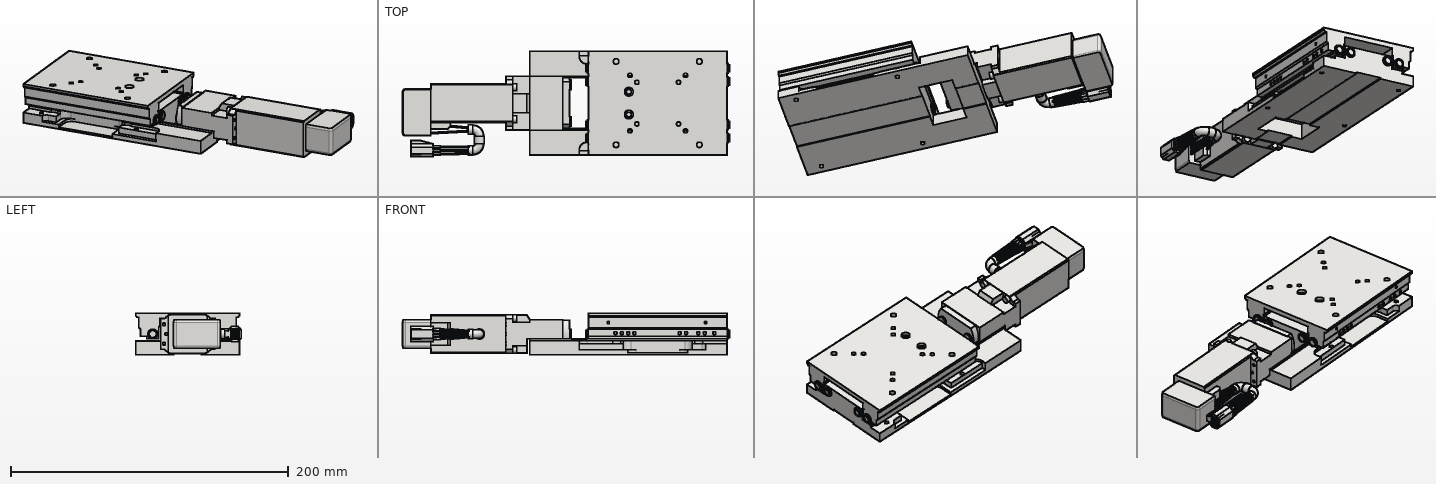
import cadquery as cq
import math


TABLE_LENGTH = 100.0
TABLE_WIDTH = 75.0
STAGE_HEIGHT = 30.0
AXIS_Z = 15.0
BASE_TOP = 10.0
PAD_TOP = 11.5
CENTRE_HALF = 19.5
HALF_LENGTH = TABLE_LENGTH / 2
HALF_WIDTH = TABLE_WIDTH / 2

WASHER_DIA = 7.0
WASHER_THICK = 0.9
HEAD_DIA = 5.2
CAP_PROUD = 1.7
GUIDE_CAP_Y = 15.5
TABLE_CAP_Y = 25.1

BASE_START = -92.3
GUIDE_TOP = 19.5
RELIEF_HALF = 10.0
RELIEF_DEPTH = 0.9
WINDOW_START = -75.0
WINDOW_END = -HALF_LENGTH
WINDOW_HALF = 18.2
LEDGE_Z = 8.0
NOTCH_Z = 3.5
NOTCH_DEPTH = 3.3
RECESS_Z = 1.5
RECESS_HALF = 21.5
STEP_HALF = 25.0
RECESS_CORNER = 5.6
RECESS_DEPTH = 15.0
LEDGE_DEPTH = 9.3
LEDGE_CORNER = 5.5
LEDGE_START = -56.5
NOTCH_ENDS = (-56.5, 34.6)
NOTCH_CORNER = 3.0
BORE_X = 29.5
BORE_Y = 31.5
BORE_DIA = 8.6
MOUNT_HOLE_X = 38.0
MOUNT_HOLE_Y = 32.2
MOUNT_HOLE_DIA = 2.8

SLOT_HALF = 20.7
SLOT_UPPER_HALF = 19.9
SLOT_STEP_Z = 20.3
SLOT_TOP = 26.2
RAIL_HALF = 29.5
LEG_BOTTOM = 13.3
LEG_HALF = 34.0
LEG_TOP = 18.4
COVER_HALF = 35.2
COVER_BOTTOM = 19.6
COVER_TOP = 26.9
LIP_BOTTOM = 28.3
LIP_BEVEL_HALF = 36.2
CORNER_HOLE_POS = 30.0
CORNER_HOLE_DIA = 4.0
CORNER_HOLE_DEPTH = 8.0
INNER_HOLE_POS = (15.0, 20.0)
INNER_HOLE_DIA = 3.0
COUNTERBORE_X = -20.8
COUNTERBORE_Y = 8.2
COUNTERBORE_DIA = 6.2
COUNTERBORE_DEPTH = 2.5
SCREW_HOLE_DIA = 3.6
COVER_HOLE_X = (-35.6, 34.5)
COVER_HOLE_Z = 23.2
COVER_HOLE_DIA = 1.7
SIDE_HOLE_X = (-30.4, -25.8, -21.2, -16.8, 15.8, 20.4, 29.2, 33.9, 40.8)
SIDE_HOLE_Z = 15.7
SIDE_HOLE_DIA = 2.2
SIDE_HOLE_DEPTH = 4.0

MOTOR_SIZE = 28.0
MOTOR_START = -163.3
MOTOR_CHAMFER = 0.9
ENCODER_START = -183.8
ENCODER_Y = (-23.6, 10.2)
ENCODER_HEIGHT = 20.7
ENCODER_ROUND = 2.1
ENCODER_BEVEL_HEIGHT = 1.8
ENCODER_BEVEL_INSET = 0.5
FLANGE_START = -109.4
FLANGE_END = -104.4
FLANGE_HALF_HEIGHT = 11.0
FLANGE_SLOPE_START = 16.8
FLANGE_SLOPE_END = 13.5
FLANGE_HOLE_Y = 17.0
FLANGE_HOLE_Z = 7.0
FLANGE_HOLE_DIA = 2.0
FLANGE_CENTRE_HOLE_Y = 15.3
HOUSING_LOW_END = -94.1
HOUSING_END = -68.3
HOUSING_TOP = 25.4
NECK_HALF_HEIGHT = 8.5
RIB_HALF = 6.8
RIB_HALF_HEIGHT = 13.8
RIB_SLOPE_START = -94.3
RIB_SLOPE_END = -92.0
MOTOR_SCREW_Y = 11.5
MOTOR_SCREW_DIA = 5.0
MOTOR_SCREW_LENGTH = 2.8
PLATE_END = -63.4
PLATE_DIA = 36.6
PLATE_TOP = 25.0
PLATE_CAP_Y = 13.2
PLATE_CAP_PROUD = 1.3

SOCKET_END = -149.3
SOCKET_OUT_Y = -18.7
SOCKET_HEIGHT = 16.2
SOCKET_CHAMFER = 2.0
SLEEVE_DIA = 6.4
SLEEVE_START = -136.6
SLEEVE_BEND_X = -133.2
SLEEVE_BEND_RADIUS = 4.7
SLEEVE_NEAR_Y = -19.0
SLEEVE_FAR_Y = -34.0
COLLAR_DIA = 6.9
BAND_DIA = 7.3
PLUG_START = -177.7
PLUG_END = -161.8
PLUG_Y = -34.03
PLUG_HALF_WIDTH = 4.75
PLUG_FLAT_Y = 2.3
PLUG_HALF_HEIGHT = 5.5
PLUG_FLAT_Z = 2.9
LATCH_Y = -26.9
LATCH_HALF_HEIGHT = 2.2
LATCH_FLAT_END = -170.8
CONTACT_ROWS = (-1.5, -0.5, 0.5, 1.5)
CONTACT_PITCH = 2.15
PLUG_SLOT_HEIGHT = 0.9
PLUG_SLOT_WIDTH = 6.0
PLUG_SLOT_DEPTH = 7.0
BARREL_END = -156.7
BARREL_DIA = 1.8
WIRE_DIA = 1.1
WIRE_OVERLAP = 1.0
WIRE_COLUMNS = (-1, 0, 1)
PLUG_WIRE_Y = 2.5
SLEEVE_WIRE_Y = 2.4
SLEEVE_WIRE_Z = 1.4
SOCKET_WIRE_Y = -16.6
ENCODER_WIRE_Y = -21.6


def block(x_range, y_range, z_range):
    size = [high - low for low, high in (x_range, y_range, z_range)]
    corner = (x_range[0], y_range[0], z_range[0])
    return cq.Workplane("XY").box(*size, centered=False).translate(corner)


def centred_block(x_range, half_width, z_range):
    return block(x_range, (-half_width, half_width), z_range)


def rod_x(x_range, y, z, diameter):
    length = x_range[1] - x_range[0]
    return cq.Workplane("YZ", origin=(x_range[0], y, z)).circle(diameter / 2).extrude(length)


def rod_z(x, y, z_range, diameter):
    length = z_range[1] - z_range[0]
    return cq.Workplane("XY", origin=(x, y, z_range[0])).circle(diameter / 2).extrude(length)


def mirrored_y(shape):
    return shape.union(shape.mirror("XZ"))


def end_caps(y):
    """Screw head and washer at both ends of the stage, for one pair of sides."""
    caps = cq.Workplane("XY")
    for side in (-1, 1):
        for direction in (-1, 1):
            for diameter, height in ((WASHER_DIA, WASHER_THICK), (HEAD_DIA, CAP_PROUD)):
                ends = sorted((direction * HALF_LENGTH, direction * (HALF_LENGTH + height)))
                caps = caps.union(rod_x(ends, side * y, AXIS_Z, diameter))
    return caps


def mounting_recesses():
    """Cuts along the -Y edge: middle recess, clamping ledges, side notches and screw holes."""
    edge = -HALF_WIDTH
    above = PAD_TOP
    cuts = (block((-RECESS_HALF, RECESS_HALF), (edge, edge + RECESS_DEPTH), (RECESS_Z, above))
            .edges("|Z and >Y").fillet(RECESS_CORNER))
    step = (block((-STEP_HALF, STEP_HALF), (edge, edge + RECESS_DEPTH), (NOTCH_Z, above))
            .edges("|Z and >Y").fillet(RECESS_CORNER))
    left_ledge = (block((LEDGE_START, -STEP_HALF), (edge, edge + LEDGE_DEPTH), (LEDGE_Z, above))
                  .edges("|Z and >Y and <X").fillet(LEDGE_CORNER))
    right_ledge = block((STEP_HALF, HALF_LENGTH), (edge, edge + LEDGE_DEPTH), (LEDGE_Z, above))
    notch = (block(NOTCH_ENDS, (edge, edge + NOTCH_DEPTH), (NOTCH_Z, above))
             .edges("|Z and >Y and >X").fillet(NOTCH_CORNER))
    for cut in (step, left_ledge, right_ledge, notch):
        cuts = cuts.union(cut)
    for x in (-BORE_X, BORE_X):
        cuts = cuts.union(rod_z(x, -BORE_Y, (LEDGE_Z, above), BORE_DIA))
    for x in (-MOUNT_HOLE_X, MOUNT_HOLE_X):
        cuts = cuts.union(rod_z(x, -MOUNT_HOLE_Y, (0, above), MOUNT_HOLE_DIA))
    return cuts


def make_base():
    body = centred_block((BASE_START, HALF_LENGTH), HALF_WIDTH, (0, BASE_TOP))
    body = body.cut(mirrored_y(mounting_recesses()))
    body = body.union(centred_block((BASE_START, HALF_LENGTH), CENTRE_HALF, (0, PAD_TOP)))
    body = body.cut(centred_block((BASE_START, HALF_LENGTH), RELIEF_HALF, (0, RELIEF_DEPTH)))
    body = body.cut(centred_block((WINDOW_START, WINDOW_END), WINDOW_HALF, (0, PAD_TOP)))
    guide = centred_block((-HALF_LENGTH, HALF_LENGTH), CENTRE_HALF, (PAD_TOP, GUIDE_TOP))
    return body.union(guide).union(end_caps(GUIDE_CAP_Y))


def table_blank():
    """Inverted channel with stepped outer sides and a rail under each leg."""
    half_profile = [
        (HALF_WIDTH, STAGE_HEIGHT), (HALF_WIDTH, LIP_BOTTOM),
        (LIP_BEVEL_HALF, COVER_TOP), (COVER_HALF, COVER_TOP),
        (COVER_HALF, COVER_BOTTOM), (LEG_HALF, LEG_TOP),
        (LEG_HALF, LEG_BOTTOM), (RAIL_HALF, LEG_BOTTOM),
        (RAIL_HALF, PAD_TOP), (SLOT_HALF, PAD_TOP),
        (SLOT_HALF, SLOT_STEP_Z), (SLOT_UPPER_HALF, SLOT_STEP_Z),
        (SLOT_UPPER_HALF, SLOT_TOP),
    ]
    other_half = [(-y, z) for y, z in reversed(half_profile)]
    plane = cq.Workplane("YZ", origin=(-HALF_LENGTH, 0, 0))
    return plane.polyline(half_profile + other_half).close().extrude(TABLE_LENGTH)


def top_holes():
    top = cq.Workplane("XY", origin=(0, 0, STAGE_HEIGHT))
    corners = top.rect(2 * CORNER_HOLE_POS, 2 * CORNER_HOLE_POS, forConstruction=True).vertices()
    holes = corners.circle(CORNER_HOLE_DIA / 2).extrude(-CORNER_HOLE_DEPTH)
    plate = STAGE_HEIGHT - SLOT_TOP
    for pos in INNER_HOLE_POS:
        square = top.rect(2 * pos, 2 * pos, forConstruction=True).vertices()
        holes = holes.union(square.circle(INNER_HOLE_DIA / 2).extrude(-plate))
    screws = top.pushPoints([(COUNTERBORE_X, COUNTERBORE_Y), (COUNTERBORE_X, -COUNTERBORE_Y)])
    holes = holes.union(screws.circle(COUNTERBORE_DIA / 2).extrude(-COUNTERBORE_DEPTH))
    return holes.union(screws.circle(SCREW_HOLE_DIA / 2).extrude(-plate))


def side_holes():
    """Blind holes in the -Y side: two for the cover and a row along each rail."""
    side = cq.Workplane("XZ", origin=(0, -HALF_WIDTH, 0))
    depth = -(SIDE_HOLE_DEPTH + HALF_WIDTH - LEG_HALF)
    cover = side.pushPoints([(x, COVER_HOLE_Z) for x in COVER_HOLE_X])
    rail = side.pushPoints([(x, SIDE_HOLE_Z) for x in SIDE_HOLE_X])
    holes = cover.circle(COVER_HOLE_DIA / 2).extrude(depth)
    return holes.union(rail.circle(SIDE_HOLE_DIA / 2).extrude(depth))


def make_table():
    return table_blank().cut(top_holes()).cut(side_holes()).union(end_caps(TABLE_CAP_Y))


def encoder_box():
    """Box with rounded upright corners and steep bevels along its top and bottom."""
    half_height = ENCODER_HEIGHT / 2
    straight = half_height - ENCODER_BEVEL_HEIGHT
    draft = math.degrees(math.atan2(ENCODER_BEVEL_INSET, ENCODER_BEVEL_HEIGHT))
    over_length = (ENCODER_START, MOTOR_START + ENCODER_ROUND)
    core = block(over_length, ENCODER_Y, (AXIS_Z - straight, AXIS_Z + straight))
    core = core.edges("|Z and <X").fillet(ENCODER_ROUND)
    box = core
    for face in (">Z", "<Z"):
        bevel = core.faces(face).wires().toPending().workplane()
        box = box.union(bevel.extrude(ENCODER_BEVEL_HEIGHT, taper=draft, combine=False))
    limits = block((ENCODER_START, MOTOR_START), ENCODER_Y,
                   (AXIS_Z - half_height, AXIS_Z + half_height))
    return box.intersect(limits)


def motor_with_encoder():
    half = MOTOR_SIZE / 2
    motor = centred_block((MOTOR_START, FLANGE_END), half, (AXIS_Z - half, AXIS_Z + half))
    motor = motor.edges("|X").chamfer(MOTOR_CHAMFER)
    return motor.union(encoder_box())


def flange():
    """Plate with corners sloping up to the motor top and bottom, and holes in its ears."""
    quarter = [(CENTRE_HALF, FLANGE_HALF_HEIGHT), (FLANGE_SLOPE_START, FLANGE_HALF_HEIGHT),
               (FLANGE_SLOPE_END, RIB_HALF_HEIGHT)]
    upper = quarter + [(-y, z) for y, z in reversed(quarter)]
    outline = upper + [(-y, -z) for y, z in upper]
    plane = cq.Workplane("YZ", origin=(FLANGE_START, 0, AXIS_Z))
    plate = plane.polyline(outline).close().extrude(FLANGE_END - FLANGE_START)
    points = [(FLANGE_HOLE_Y, FLANGE_HOLE_Z), (FLANGE_HOLE_Y, -FLANGE_HOLE_Z),
              (FLANGE_CENTRE_HOLE_Y, 0)]
    holes = plane.pushPoints(points).circle(FLANGE_HOLE_DIA / 2).extrude(FLANGE_END - FLANGE_START)
    return plate.cut(mirrored_y(holes))


def housing():
    neck_z = (AXIS_Z - NECK_HALF_HEIGHT, AXIS_Z + NECK_HALF_HEIGHT)
    body = centred_block((FLANGE_END, HOUSING_LOW_END), CENTRE_HALF, neck_z)
    body = body.union(centred_block((HOUSING_LOW_END, BASE_START), CENTRE_HALF, (PAD_TOP, neck_z[1])))
    body = body.union(centred_block((BASE_START, HOUSING_END), CENTRE_HALF, (PAD_TOP, HOUSING_TOP)))
    rib_low = AXIS_Z - RIB_HALF_HEIGHT
    rib_high = AXIS_Z + RIB_HALF_HEIGHT
    rib_outline = [(FLANGE_END, rib_low), (HOUSING_LOW_END, rib_low), (HOUSING_LOW_END, PAD_TOP),
                   (RIB_SLOPE_END, PAD_TOP), (RIB_SLOPE_END, HOUSING_TOP),
                   (RIB_SLOPE_START, rib_high), (FLANGE_END, rib_high)]
    rib = cq.Workplane("XZ").polyline(rib_outline).close().extrude(RIB_HALF, both=True)
    body = body.union(rib)
    plate = rod_x((HOUSING_END, PLATE_END), 0, AXIS_Z, PLATE_DIA)
    flats = centred_block((HOUSING_END, PLATE_END), PLATE_DIA / 2, (PAD_TOP, PLATE_TOP))
    body = body.union(plate.intersect(flats))
    for y in (-PLATE_CAP_Y, PLATE_CAP_Y):
        body = body.union(rod_x((PLATE_END, PLATE_END + PLATE_CAP_PROUD), y, AXIS_Z, WASHER_DIA))
    for y in (-MOTOR_SCREW_Y, MOTOR_SCREW_Y):
        for z in (AXIS_Z - MOTOR_SCREW_Y, AXIS_Z + MOTOR_SCREW_Y):
            screw_x = (FLANGE_END, FLANGE_END + MOTOR_SCREW_LENGTH)
            body = body.union(rod_x(screw_x, y, z, MOTOR_SCREW_DIA))
    return body


def socket():
    half_height = SOCKET_HEIGHT / 2
    body = block((MOTOR_START, SOCKET_END), (SOCKET_OUT_Y, -MOTOR_SIZE / 2),
                 (AXIS_Z - half_height, AXIS_Z + half_height))
    return body.edges("|Z and <Y and >X").chamfer(SOCKET_CHAMFER)


def cable_sleeve():
    """U-shaped sleeve with a collar at each end and a band around its middle."""
    turn_x = SLEEVE_BEND_X + SLEEVE_BEND_RADIUS
    turn_offset = SLEEVE_BEND_RADIUS * math.sin(math.radians(45))
    mid_x = SLEEVE_BEND_X + turn_offset
    near_turn_y = SLEEVE_NEAR_Y - SLEEVE_BEND_RADIUS
    far_turn_y = SLEEVE_FAR_Y + SLEEVE_BEND_RADIUS
    path = (cq.Workplane("XY", origin=(0, 0, AXIS_Z))
            .moveTo(SLEEVE_START, SLEEVE_NEAR_Y)
            .lineTo(SLEEVE_BEND_X, SLEEVE_NEAR_Y)
            .threePointArc((mid_x, near_turn_y + turn_offset), (turn_x, near_turn_y))
            .lineTo(turn_x, far_turn_y)
            .threePointArc((mid_x, far_turn_y - turn_offset), (SLEEVE_BEND_X, SLEEVE_FAR_Y))
            .lineTo(SLEEVE_START, SLEEVE_FAR_Y))
    start = cq.Workplane("YZ", origin=(SLEEVE_START, SLEEVE_NEAR_Y, AXIS_Z))
    sleeve = start.circle(SLEEVE_DIA / 2).sweep(path)
    for y in (SLEEVE_NEAR_Y, SLEEVE_FAR_Y):
        sleeve = sleeve.union(rod_x((SLEEVE_START, SLEEVE_BEND_X), y, AXIS_Z, COLLAR_DIA))
    band = cq.Workplane("XZ", origin=(turn_x, near_turn_y, AXIS_Z)).circle(BAND_DIA / 2)
    return sleeve.union(band.extrude(near_turn_y - far_turn_y))


def cable_plug():
    """Eight-sided plug with a latch on its +Y side, contact slots and crimp barrels."""
    quarter = [(PLUG_HALF_WIDTH, PLUG_FLAT_Z), (PLUG_FLAT_Y, PLUG_HALF_HEIGHT)]
    upper = quarter + [(-y, z) for y, z in reversed(quarter)]
    outline = upper + [(-y, -z) for y, z in upper]
    plane = cq.Workplane("YZ", origin=(PLUG_START, PLUG_Y, AXIS_Z))
    plug = plane.polyline(outline).close().extrude(PLUG_END - PLUG_START)
    latch_outline = [(PLUG_START, PLUG_Y), (PLUG_START, LATCH_Y), (LATCH_FLAT_END, LATCH_Y),
                     (PLUG_END, PLUG_Y + PLUG_HALF_WIDTH), (PLUG_END, PLUG_Y)]
    latch = (cq.Workplane("XY", origin=(0, 0, AXIS_Z)).polyline(latch_outline).close()
             .extrude(LATCH_HALF_HEIGHT, both=True))
    plug = plug.union(latch)
    for row in CONTACT_ROWS:
        z = AXIS_Z + row * CONTACT_PITCH
        slot = block((PLUG_START, PLUG_START + PLUG_SLOT_DEPTH),
                     (PLUG_Y - PLUG_SLOT_WIDTH / 2, PLUG_Y + PLUG_SLOT_WIDTH / 2),
                     (z - PLUG_SLOT_HEIGHT / 2, z + PLUG_SLOT_HEIGHT / 2))
        plug = plug.cut(slot)
        for column in WIRE_COLUMNS:
            barrel_x = (PLUG_END - WIRE_OVERLAP, BARREL_END)
            plug = plug.union(rod_x(barrel_x, PLUG_Y + column * PLUG_WIRE_Y, z, BARREL_DIA))
    return plug


def wire(start, end):
    """Straight wire between two points, reaching a little into the parts at both ends."""
    first = cq.Vector(*start)
    direction = (cq.Vector(*end) - first).normalized()
    first = first - direction * WIRE_OVERLAP
    length = (cq.Vector(*end) - first).Length + WIRE_OVERLAP
    return cq.Workplane(cq.Solid.makeCylinder(WIRE_DIA / 2, length, first, direction))


def cable_wires():
    wires = cq.Workplane("XY")
    for row in CONTACT_ROWS:
        plug_z = AXIS_Z + row * CONTACT_PITCH
        sleeve_z = AXIS_Z + row * SLEEVE_WIRE_Z
        for column in WIRE_COLUMNS:
            start = (BARREL_END, PLUG_Y + column * PLUG_WIRE_Y, plug_z)
            end = (SLEEVE_START, SLEEVE_FAR_Y + column * SLEEVE_WIRE_Y, sleeve_z)
            wires = wires.union(wire(start, end))
        socket_end = (SLEEVE_START, SLEEVE_NEAR_Y + SLEEVE_WIRE_Y / 2, sleeve_z)
        wires = wires.union(wire((SOCKET_END, SOCKET_WIRE_Y, plug_z), socket_end))
        encoder_end = (SLEEVE_START, SLEEVE_NEAR_Y - SLEEVE_WIRE_Y / 2, sleeve_z)
        wires = wires.union(wire((MOTOR_START, ENCODER_WIRE_Y, plug_z), encoder_end))
    return wires


def make_motor_unit():
    unit = motor_with_encoder().union(flange()).union(housing()).union(socket())
    return unit.union(cable_sleeve()).union(cable_plug()).union(cable_wires())


base = make_base()
table = make_table()
motor_unit = make_motor_unit()
result = cq.Compound.makeCompound([
    *base.solids().vals(),
    *table.solids().vals(),
    *motor_unit.solids().vals(),
])